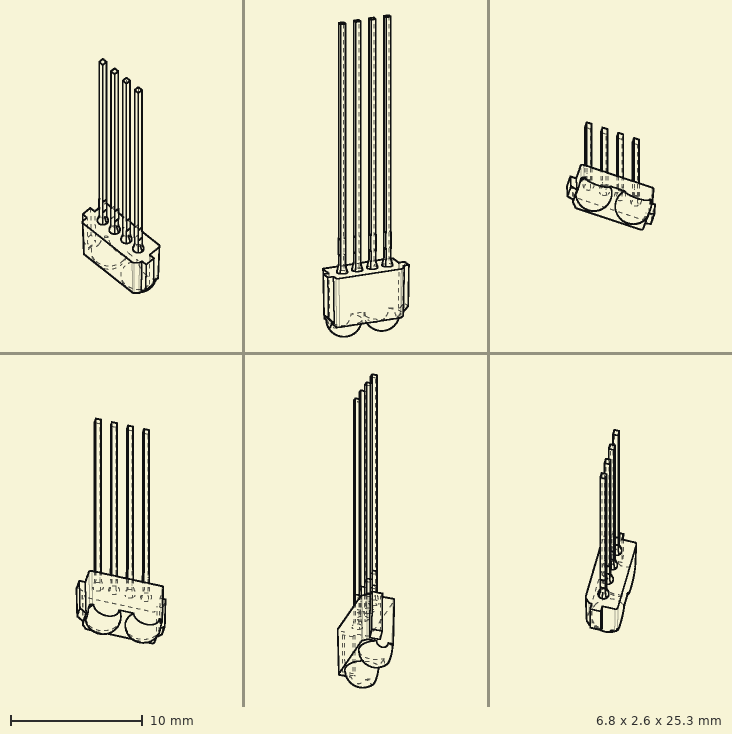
import cadquery as cq
import math


TOTAL_HEIGHT = 25.3
TOTAL_WIDTH = 6.8
HOUSING_WIDTH = 5.87
HOUSING_DEPTH = 2.6
HOUSING_HEIGHT = 3.95
DRAFT_ANGLE = 1.0
KEY_CHAMFER = 0.4
CORNER_RADIUS = 0.18

TAB_BACK_Y = 0.13
TAB_WIDTH = 0.83
TAB_RAMP_START = 3.3
TAB_RAMP_END = 3.77
DRAFT_SLOPE = math.tan(math.radians(DRAFT_ANGLE))
TAB_RAMP_HALF_WIDTH = TOTAL_WIDTH / 2 - TAB_RAMP_START * DRAFT_SLOPE
TAB_ROOT_HALF_WIDTH = HOUSING_WIDTH / 2 - TAB_RAMP_END * DRAFT_SLOPE

LENS_RADIUS = 1.37
LENS_PROJECTION = 1.35
LENS_SPACING = 3.15
LENS_Y = 0.3

LEAD_COUNT = 4
LEAD_PITCH = 1.26
LEAD_Y = -0.05
LEAD_WIDTH = 0.4
LEAD_LENGTH = TOTAL_HEIGHT - HOUSING_HEIGHT - LENS_PROJECTION
COLLAR_DIAMETER = 0.83
COLLAR_HEIGHT = 0.6
SWELL_WIDTH = 0.43
SWELL_START = 1.4
SWELL_LENGTH = 1.3


def make_envelope():
    """Drafted walls of housing and lenses, with one bevelled corner and rounded upright edges."""
    half_width = HOUSING_WIDTH / 2
    half_depth = HOUSING_DEPTH / 2
    outline = [
        (-half_width, -half_depth),
        (half_width - KEY_CHAMFER, -half_depth),
        (half_width, -half_depth + KEY_CHAMFER),
        (half_width, half_depth),
        (-half_width, half_depth),
    ]
    full_height = HOUSING_HEIGHT + LENS_PROJECTION
    envelope = cq.Workplane("XY").polyline(outline).close().extrude(-full_height, taper=DRAFT_ANGLE)
    return envelope.edges("not(#Z)").fillet(CORNER_RADIUS)


def make_block():
    """Housing block with two lens domes below it, all trimmed flush with the drafted walls."""
    slab = cq.Workplane("XY").rect(HOUSING_WIDTH, HOUSING_DEPTH).extrude(-HOUSING_HEIGHT)
    dome_centre_z = LENS_RADIUS - HOUSING_HEIGHT - LENS_PROJECTION
    domes = (
        cq.Workplane("XY", origin=(0, LENS_Y, dome_centre_z))
        .rarray(LENS_SPACING, 0.25, 2, 1)
        .sphere(LENS_RADIUS)
    )
    return make_envelope().intersect(slab.union(domes))


def make_tabs():
    """Both side tabs as one bar through the housing, its ends sloping in at the bottom."""
    top_half_width = TOTAL_WIDTH / 2
    profile = [
        (-top_half_width, 0),
        (top_half_width, 0),
        (TAB_RAMP_HALF_WIDTH, -TAB_RAMP_START),
        (TAB_ROOT_HALF_WIDTH, -TAB_RAMP_END),
        (-TAB_ROOT_HALF_WIDTH, -TAB_RAMP_END),
        (-TAB_RAMP_HALF_WIDTH, -TAB_RAMP_START),
    ]
    plane = cq.Workplane("XZ", origin=(0, TAB_BACK_Y, 0))
    return plane.polyline(profile).close().extrude(TAB_WIDTH)


def make_lead(x):
    """Square lead standing on the housing, with a flared collar and a slightly wider stretch."""
    collar = (
        cq.Workplane("XY", origin=(x, LEAD_Y, 0))
        .circle(COLLAR_DIAMETER / 2)
        .workplane(offset=COLLAR_HEIGHT)
        .rect(LEAD_WIDTH, LEAD_WIDTH)
        .loft()
    )
    shank = (
        cq.Workplane("XY", origin=(x, LEAD_Y, COLLAR_HEIGHT))
        .rect(LEAD_WIDTH, LEAD_WIDTH)
        .extrude(LEAD_LENGTH - COLLAR_HEIGHT)
    )
    swell = (
        cq.Workplane("XY", origin=(x, LEAD_Y, SWELL_START))
        .rect(SWELL_WIDTH, LEAD_WIDTH)
        .extrude(SWELL_LENGTH)
    )
    return collar.union(shank).union(swell)


lead_positions = [(i - (LEAD_COUNT - 1) / 2) * LEAD_PITCH for i in range(LEAD_COUNT)]
*separate_positions, key_position = lead_positions

housing = make_block().union(make_tabs()).union(make_lead(key_position))
leads = [make_lead(x) for x in separate_positions]

result = cq.Compound.makeCompound([housing.val(), *[lead.val() for lead in leads]])